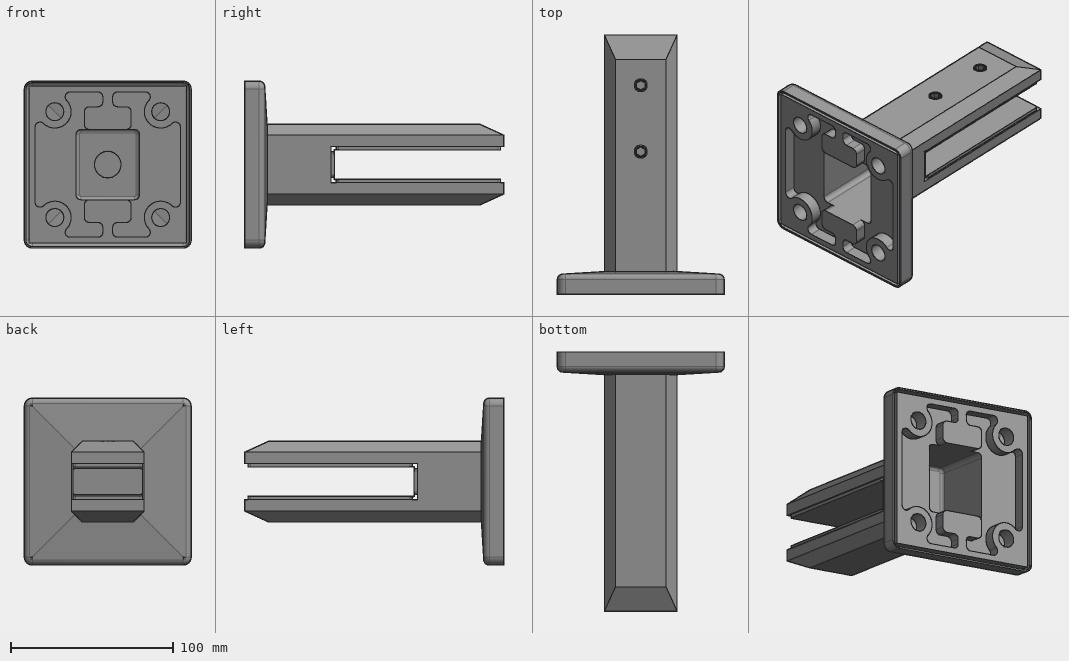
import cadquery as cq
import math

total_length = 160.0
post_width = 45.0
post_height = 50.0
post_chamfer = 6.9
tip_chamfer_length = 15.0
slot_width = 22.0
slot_depth = 106.5

bore_width = 39.0
bore_height = 43.4
bore_corner_radius = 3.0
bore_floor_fillet = 2.0
bore_floor_thickness = 3.0
floor_hole_diameter = 16.3

plate_size = 97.0
plate_thickness = 10.0
screw_hole_diameter = 11.0
screw_hole_offset = 32.6

pocket_depth = 7.5
pocket_half_size = 44.8
pocket_radius = 3.0
boss_radius = 10.0
neck_half_width = 3.0
island_half_width = 14.4
island_top = 35.7

cover_size = 103.0
cover_wall = 1.0
cover_corner_radius = 5.0
cover_edge_height = 12.3
cover_slope = 3.5
cover_edge_fillet = 3.5

liner_thickness = 2.0
liner_side_inset = 1.0
liner_setback = 2.0
liner_corner_radius = 1.5
liner_bend_relief = 3.0
liner_bend_thickness = 0.5
liner_bend_radius = 1.0

set_screw_diameter = 8.0
set_screw_chamfer = 0.8
set_screw_socket = 5.0
set_screw_socket_depth = 5.0
set_screw_tip_distances = (31.0, 72.0)

slot_floor = total_length - slot_depth
bore_depth = slot_floor - bore_floor_thickness
liner_width = post_width - 2 * liner_side_inset
set_screw_length = (post_height - slot_width) / 2


def front_plane(y):
    """Workplane facing the foot of the bracket; negative extrusions run toward the tip."""
    return cq.Workplane("XZ", origin=(0, y, 0))


def make_post_shape():
    """Chamfered bar whose upper and lower faces slope in at the tip."""
    bar = (
        front_plane(0)
        .rect(post_width, post_height)
        .extrude(-total_length)
        .edges("|Y")
        .chamfer(post_chamfer)
    )
    half_height = post_height / 2
    tip_half_height = half_height - post_chamfer
    slope_start = total_length - tip_chamfer_length
    side_profile = (
        cq.Workplane("YZ")
        .polyline([
            (0, -half_height),
            (slope_start, -half_height),
            (total_length, -tip_half_height),
            (total_length, tip_half_height),
            (slope_start, half_height),
            (0, half_height),
        ])
        .close()
        .extrude(post_width / 2, both=True)
    )
    return bar.intersect(side_profile)


def make_pocket_quarter():
    """Upper left quarter of the pocket: it rounds the screw boss and stops at the island."""
    tip_x = pocket_half_size - pocket_radius
    reach = boss_radius + pocket_radius
    tip_z = screw_hole_offset - math.sqrt(reach**2 - (tip_x - screw_hole_offset) ** 2)
    share = boss_radius / reach
    tangent_x = screw_hole_offset + share * (tip_x - screw_hole_offset)
    tangent_z = screw_hole_offset + share * (tip_z - screw_hole_offset)
    boss_middle = screw_hole_offset - boss_radius / math.sqrt(2)
    island_inner = island_half_width - pocket_radius
    island_bottom = bore_height / 2
    return (
        front_plane(0)
        .moveTo(-island_inner, 0)
        .lineTo(-pocket_half_size, 0)
        .lineTo(-pocket_half_size, tip_z)
        .tangentArcPoint((-tangent_x, tangent_z), relative=False)
        .threePointArc((-boss_middle, boss_middle), (-tangent_z, tangent_x))
        .tangentArcPoint((-tip_z, pocket_half_size), relative=False)
        .lineTo(-neck_half_width - pocket_radius, pocket_half_size)
        .tangentArcPoint((-neck_half_width, pocket_half_size - pocket_radius), relative=False)
        .lineTo(-neck_half_width, island_top + pocket_radius)
        .tangentArcPoint((-neck_half_width - pocket_radius, island_top), relative=False)
        .lineTo(-island_inner, island_top)
        .tangentArcPoint((-island_half_width, island_top - pocket_radius), relative=False)
        .lineTo(-island_half_width, island_bottom + pocket_radius)
        .tangentArcPoint((-island_inner, island_bottom), relative=False)
        .close()
        .extrude(-pocket_depth)
    )


def make_bore():
    """Rounded hollow in the foot of the post."""
    return (
        front_plane(0)
        .rect(bore_width, bore_height)
        .extrude(-bore_depth)
        .edges("|Y")
        .fillet(bore_corner_radius)
        .faces(">Y")
        .edges()
        .fillet(bore_floor_fillet)
    )


def make_post():
    plate = front_plane(0).rect(plate_size, plate_size).extrude(-plate_thickness)
    post = make_post_shape().union(plate)

    slot = cq.Workplane("XY").box(post_width, slot_depth, slot_width, centered=(True, False, True))
    post = post.cut(slot.translate((0, slot_floor, 0)))

    left_top = make_pocket_quarter()
    left_bottom = left_top.mirror("XY")
    for quarter in (left_top, left_bottom):
        post = post.cut(quarter).cut(quarter.mirror("YZ"))

    floor_hole = front_plane(0).circle(floor_hole_diameter / 2).extrude(-slot_floor)
    post = post.cut(make_bore()).cut(floor_hole)

    screw_holes = (
        front_plane(0)
        .rect(2 * screw_hole_offset, 2 * screw_hole_offset, forConstruction=True)
        .vertices()
        .circle(screw_hole_diameter / 2)
        .extrude(-plate_thickness)
    )
    post = post.cut(screw_holes)

    for distance in set_screw_tip_distances:
        post = post.cut(make_set_screw_blank(distance))
    return post


def cover_section(half_size, edge_height, edge_fillet, reach):
    """Outline in XY from the edge of the cover inward: side wall, rounded rim and sloping roof."""
    slope = math.radians(cover_slope)
    tangent_length = edge_fillet * math.tan((math.pi / 2 - slope) / 2)
    roof_start = (
        half_size - tangent_length * math.cos(slope),
        edge_height + tangent_length * math.sin(slope),
    )
    return (
        cq.Workplane("XY")
        .moveTo(half_size - reach, 0)
        .lineTo(half_size, 0)
        .lineTo(half_size, edge_height - tangent_length)
        .tangentArcPoint(roof_start, relative=False)
        .lineTo(half_size - reach, edge_height + reach * math.tan(slope))
        .close()
    )


def make_cover_block(half_size, edge_height, corner_radius, edge_fillet):
    """Solid with a pyramid roof whose side section turns about an axis at each corner."""
    half_roof = cover_section(half_size, edge_height, edge_fillet, half_size).extrude(half_size, both=True)
    roof = half_roof.union(half_roof.mirror("YZ"))
    block = roof.intersect(roof.rotate((0, 0, 0), (0, 1, 0), 90))

    corner_axis = half_size - corner_radius
    square_corner = (
        cq.Workplane("XY")
        .box(corner_radius, cover_size, corner_radius, centered=False)
        .translate((corner_axis, 0, corner_axis))
    )
    round_corner = (
        cover_section(half_size, edge_height, edge_fillet, corner_radius)
        .revolve(90, (corner_axis, 0, 0), (corner_axis, -1, 0))
        .translate((0, 0, corner_axis))
    )
    for turn in range(4):
        block = block.cut(square_corner.rotate((0, 0, 0), (0, 1, 0), 90 * turn))
        block = block.union(round_corner.rotate((0, 0, 0), (0, 1, 0), 90 * turn))
    return block


def make_cover():
    outer = make_cover_block(cover_size / 2, cover_edge_height, cover_corner_radius, cover_edge_fillet)
    inner = make_cover_block(
        cover_size / 2 - cover_wall,
        cover_edge_height - cover_wall,
        cover_corner_radius - cover_wall,
        cover_edge_fillet - cover_wall,
    )
    return outer.cut(inner).cut(make_post_shape())


def make_liner_web():
    """Thin U-shaped sheet that faces the panel and carries the pads."""
    gap = liner_thickness - liner_bend_thickness
    length = slot_depth - liner_setback - gap
    height = slot_width - 2 * gap
    sheet = (
        cq.Workplane("XY", origin=(0, slot_floor + gap, 0))
        .box(liner_width, length, height, centered=(True, False, True))
        .edges("|X and <Y")
        .fillet(liner_bend_radius)
    )
    opening = (
        cq.Workplane("XY", origin=(0, slot_floor + liner_thickness, 0))
        .box(liner_width, length, slot_width - 2 * liner_thickness, centered=(True, False, True))
    )
    return sheet.cut(opening).edges("|Z and >Y").fillet(liner_corner_radius)


def make_liner():
    """Two legs and an end pad with rounded corners, joined by the thin web at the bends."""
    leg_start = slot_floor + liner_bend_relief
    leg_end = total_length - liner_setback
    leg_pad = (
        cq.Workplane("XY")
        .box(liner_width, leg_end - leg_start, liner_thickness, centered=(True, True, False))
        .edges("|Z")
        .fillet(liner_corner_radius)
        .translate((0, (leg_start + leg_end) / 2, -slot_width / 2))
    )
    end_pad = (
        front_plane(slot_floor)
        .rect(liner_width, slot_width - 2 * liner_bend_relief)
        .extrude(-liner_thickness)
        .edges("|Y")
        .fillet(liner_corner_radius)
    )
    return make_liner_web().union(leg_pad).union(leg_pad.mirror("XY")).union(end_pad)


def make_set_screw_blank(tip_distance):
    """Full cylinder of one set screw, also used for the hole it fills."""
    return (
        cq.Workplane("XY", origin=(0, total_length - tip_distance, slot_width / 2))
        .circle(set_screw_diameter / 2)
        .extrude(set_screw_length)
    )


def make_set_screw(tip_distance):
    socket_corners = set_screw_socket / math.cos(math.pi / 6)
    return (
        make_set_screw_blank(tip_distance)
        .faces(">Z")
        .chamfer(set_screw_chamfer)
        .faces(">Z")
        .workplane(centerOption="CenterOfBoundBox")
        .transformed(rotate=(0, 0, 90))
        .polygon(6, socket_corners)
        .cutBlind(-set_screw_socket_depth)
    )


post = make_post()
cover = make_cover()
liner = make_liner()
set_screws = [make_set_screw(distance) for distance in set_screw_tip_distances]

result = cq.Compound.makeCompound([
    post.val(),
    cover.val(),
    liner.val(),
    *[screw.val() for screw in set_screws],
])